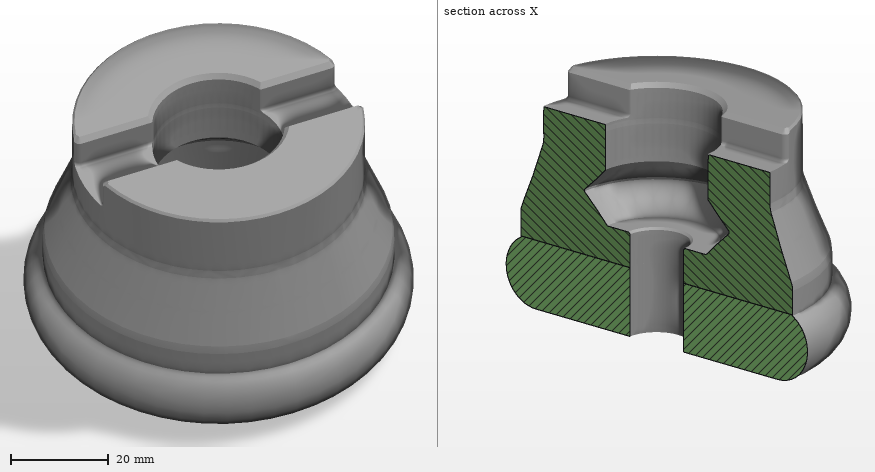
import cadquery as cq
import math

outer_radius = 40.0
total_height = 52.0
insert_radius = 8.0
collar_radius = 72.0 / 2
hub_radius = 60.0 / 2
ring_height = 15.2

insert_centre_radius = outer_radius - insert_radius
round_side_top_z = insert_radius + math.sqrt(insert_radius**2 - (collar_radius - insert_centre_radius) ** 2)

cone_bottom_z = 21.3
cone_top_z = 37.0
cone_blend_radius = 5.0
hub_chamfer = 0.5

upper_bore_radius = 27.2 / 2
lower_bore_radius = 27.0 / 2
bore_chamfer = 0.95
bore_step_top_z = 44.4
bore_step_bottom_z = 43.25
relief_radius = 38.1 / 2
relief_top_z = 34.9
relief_wall_height = 0.5
relief_floor_radius = 13.0
screw_hole_radius = 14.0 / 2
screw_hole_chamfer = 0.5

slot_width = 12.4
slot_depth = 7.0
slot_floor_radius = 0.7
slot_chamfer = 1.0
slot_flare_radius = 1.1
slot_overrun = 1.6

slot_half_width = slot_width / 2
slot_floor_z = total_height - slot_depth


def make_cutting_ring():
    """Disc with a round side, a short collar and a clearance hole for the screw."""
    collar_angle = math.acos((collar_radius - insert_centre_radius) / insert_radius)
    mid_angle = (collar_angle - math.pi / 2) / 2
    mid_point = (
        insert_centre_radius + insert_radius * math.cos(mid_angle),
        insert_radius + insert_radius * math.sin(mid_angle),
    )
    return (
        cq.Workplane("XZ")
        .moveTo(screw_hole_radius, 0)
        .lineTo(insert_centre_radius, 0)
        .threePointArc(mid_point, (collar_radius, round_side_top_z))
        .lineTo(collar_radius, ring_height)
        .lineTo(screw_hole_radius, ring_height)
        .close()
        .revolve(360, (0, 0, 0), (0, 1, 0))
    )


def make_body_blank():
    """Solid outside of the cutter body: collar, blended cone and hub."""
    blank = (
        cq.Workplane("XZ")
        .moveTo(0, ring_height)
        .lineTo(collar_radius, ring_height)
        .lineTo(collar_radius, cone_bottom_z)
        .lineTo(hub_radius, cone_top_z)
        .lineTo(hub_radius, total_height)
        .lineTo(0, total_height)
        .close()
        .revolve(360, (0, 0, 0), (0, 1, 0))
    )
    for corner_z in (cone_bottom_z, cone_top_z):
        corner_centre = cq.selectors.NearestToPointSelector((0, 0, corner_z))
        blank = blank.edges("%CIRCLE").edges(corner_centre).fillet(cone_blend_radius)
    return blank.faces(">Z").edges().chamfer(hub_chamfer)


def make_bore():
    """Stepped bore with a relief tapered at 45 degrees above and below, and the screw hole below it."""
    relief_wall_top_z = relief_top_z - (relief_radius - lower_bore_radius)
    relief_wall_bottom_z = relief_wall_top_z - relief_wall_height
    relief_floor_z = relief_wall_bottom_z - (relief_radius - relief_floor_radius)
    profile = [
        (0, ring_height),
        (screw_hole_radius, ring_height),
        (screw_hole_radius, relief_floor_z - screw_hole_chamfer),
        (screw_hole_radius + screw_hole_chamfer, relief_floor_z),
        (relief_floor_radius, relief_floor_z),
        (relief_radius, relief_wall_bottom_z),
        (relief_radius, relief_wall_top_z),
        (lower_bore_radius, relief_top_z),
        (lower_bore_radius, bore_step_bottom_z),
        (upper_bore_radius, bore_step_top_z),
        (upper_bore_radius, total_height - bore_chamfer),
        (upper_bore_radius + bore_chamfer, total_height),
        (0, total_height),
    ]
    return cq.Workplane("XZ").polyline(profile).close().revolve(360, (0, 0, 0), (0, 1, 0))


def slot_outline(z):
    """Plan of the slot at height z, flared by arcs at the hub side and at the bore."""
    flared_half_width = slot_half_width + slot_flare_radius
    mouth_y = math.sqrt(hub_radius**2 - flared_half_width**2)
    bore_y = math.sqrt(lower_bore_radius**2 - flared_half_width**2)
    end_y = hub_radius + slot_overrun

    def flare_middle(corner_y, outward):
        """Middle of the quarter arc from the slot wall to a corner of the outline."""
        x = slot_half_width + slot_flare_radius * (1 - math.sqrt(0.5))
        y = corner_y - outward * slot_flare_radius * (1 - math.sqrt(0.5))
        return x, y

    mouth_mid_x, mouth_mid_y = flare_middle(mouth_y, 1)
    bore_mid_x, bore_mid_y = flare_middle(bore_y, -1)
    outline = cq.Workplane("XY", origin=(0, 0, z)).moveTo(flared_half_width, -bore_y)
    for side in (1, -1):
        outline = (
            outline.lineTo(side * flared_half_width, side * bore_y)
            .threePointArc(
                (side * bore_mid_x, side * bore_mid_y),
                (side * slot_half_width, side * (bore_y + slot_flare_radius)),
            )
            .lineTo(side * slot_half_width, side * (mouth_y - slot_flare_radius))
            .threePointArc(
                (side * mouth_mid_x, side * mouth_mid_y),
                (side * flared_half_width, side * mouth_y),
            )
            .lineTo(side * flared_half_width, side * end_y)
            .lineTo(-side * flared_half_width, side * end_y)
            .lineTo(-side * flared_half_width, side * mouth_y)
            .threePointArc(
                (-side * mouth_mid_x, side * mouth_mid_y),
                (-side * slot_half_width, side * (mouth_y - slot_flare_radius)),
            )
            .lineTo(-side * slot_half_width, side * (bore_y + slot_flare_radius))
            .threePointArc(
                (-side * bore_mid_x, side * bore_mid_y),
                (-side * flared_half_width, side * bore_y),
            )
        )
    return outline.close()


def make_slot():
    """Slot cutter with rounded floor edges and a widening top."""
    channel = slot_outline(slot_floor_z).extrude(slot_depth)
    channel = channel.faces("<Z").edges().fillet(slot_floor_radius)
    top_chamfer = slot_outline(total_height - slot_chamfer).extrude(slot_chamfer, taper=-45)
    return channel.union(top_chamfer)


cutting_ring = make_cutting_ring()
cutter_body = make_body_blank().cut(make_slot()).cut(make_bore())

result = cq.Compound.makeCompound([cutting_ring.val(), cutter_body.val()])